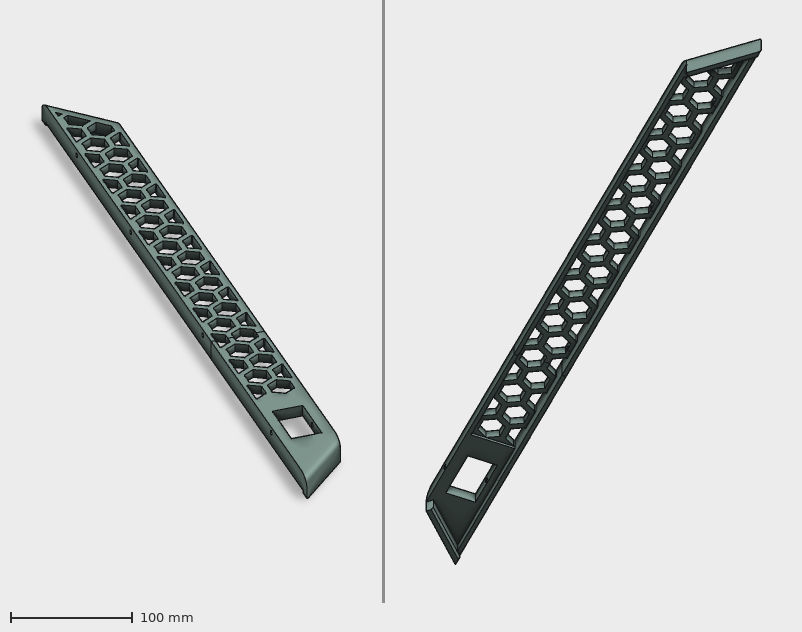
import cadquery as cq
import math

length = 633.0
width = 47.0
height = 21.0

plate_thickness = 10.0
skirt_thickness = 4.0
skirt_clearance = 4.0
end_wall = 6.5
end_wall_chamfer = 2.0
front_round = 2.0
end_round = 9.5

column_pitch = 21.5
cell_flats = 19.5
first_column_x = -256.0
column_count = 21
columns_before_first = 2
rim = 4.0
grille_thickness = 7.5
slanted_border = 19.0

window_length = 45.5
window_width = 26.5
window_x = 231.0
window_y = -0.5

hole_diameter = 4.0
hole_below_top = 6.0
hole_depth = 9.5
hole_positions_x = (-233.5, -104.5, 68.0)

split_column = 16

right_x = length / 2
left_x = -right_x
back_y = width / 2
front_y = -back_y
plate_bottom = height - plate_thickness
cell_pitch = column_pitch / math.cos(math.radians(30))
cell_corners = cell_flats / math.cos(math.radians(30))
end_wall_run = end_wall * math.sqrt(2)
end_wall_offset = end_wall / math.sqrt(2)


def column_x(column):
    return first_column_x + column * column_pitch


def prism(outline, z_min, z_max):
    return cq.Workplane("XY", origin=(0, 0, z_min)).polyline(outline).close().extrude(z_max - z_min)


def make_envelope():
    """Solid trapezoid with both slanted top edges rounded."""
    outline = [
        (left_x, front_y),
        (right_x, front_y),
        (right_x - width, back_y),
        (left_x + width, back_y),
    ]
    envelope = prism(outline, 0, height)
    slanted_top_edges = envelope.faces(">Z").edges("not #Y")
    return slanted_top_edges.fillet(end_round)


def make_end_wall():
    """Wall along the left end, square to the slant at its back end."""
    outline = [
        (left_x, front_y),
        (left_x + end_wall_run, front_y),
        (left_x + width + end_wall_offset, back_y - end_wall_offset),
        (left_x + width, back_y),
    ]
    wall = prism(outline, 0, height)
    inner_face = wall.faces(cq.selectors.DirectionMinMaxSelector(cq.Vector(1, -1, 0)))
    wall = inner_face.edges("<Z").chamfer(end_wall_chamfer)
    return wall.faces("<Y").edges("<Z").fillet(front_round)


def make_shell():
    plate = cq.Workplane("XY", origin=(0, 0, plate_bottom)).rect(length, width).extrude(plate_thickness)
    skirt = (
        cq.Workplane("XY", origin=(0, front_y + skirt_thickness / 2, skirt_clearance))
        .rect(length, skirt_thickness).extrude(height - skirt_clearance)
    )
    left_wall = make_end_wall()
    right_wall = left_wall.mirror("YZ")
    return make_envelope().intersect(plate.union(skirt).union(left_wall).union(right_wall))


def make_grille_area(z_min, z_max):
    """Block over the whole grille, inside the solid borders."""
    right_end = column_x(column_count - 1) + cell_corners / 2
    area = [
        (left_x + slanted_border + rim, front_y + rim),
        (right_end, front_y + rim),
        (right_end, back_y - rim),
        (left_x + slanted_border + width - rim, back_y - rim),
    ]
    return prism(area, z_min, z_max)


def make_grille_cells():
    centres = []
    for column in range(-columns_before_first, column_count):
        row_shift = cell_pitch / 4 if column % 2 == 0 else -cell_pitch / 4
        for row in (-1, 0, 1):
            centres.append((column_x(column), row_shift + row * cell_pitch))
    cells = (
        cq.Workplane("XY", origin=(0, 0, plate_bottom))
        .pushPoints(centres).polygon(6, cell_corners).extrude(plate_thickness)
    )
    return cells.intersect(make_grille_area(plate_bottom, height))


def make_window_cutter():
    return (
        cq.Workplane("XY", origin=(window_x, window_y, plate_bottom))
        .rect(window_length, window_width).extrude(plate_thickness)
    )


def make_hole_cutter(x, depth):
    return (
        cq.Workplane("XZ", origin=(x, front_y, height - hole_below_top))
        .circle(hole_diameter / 2).extrude(-depth)
    )


def make_frame():
    relief = make_grille_area(plate_bottom, height - grille_thickness)
    frame = make_shell().cut(relief).cut(make_grille_cells()).cut(make_window_cutter())
    for x in hole_positions_x:
        frame = frame.cut(make_hole_cutter(x, hole_depth))
    return frame.cut(make_hole_cutter(window_x, width))


def make_section(frame, x_min, x_max):
    """The part of the frame between two X positions."""
    block = (
        cq.Workplane("XY", origin=((x_min + x_max) / 2, 0, 0))
        .rect(x_max - x_min, width).extrude(height)
    )
    return frame.intersect(block)


frame = make_frame()
split_x = column_x(split_column)
left_section = make_section(frame, left_x, split_x)
right_section = make_section(frame, split_x, right_x)

result = cq.Compound.makeCompound([*left_section.vals(), *right_section.vals()])